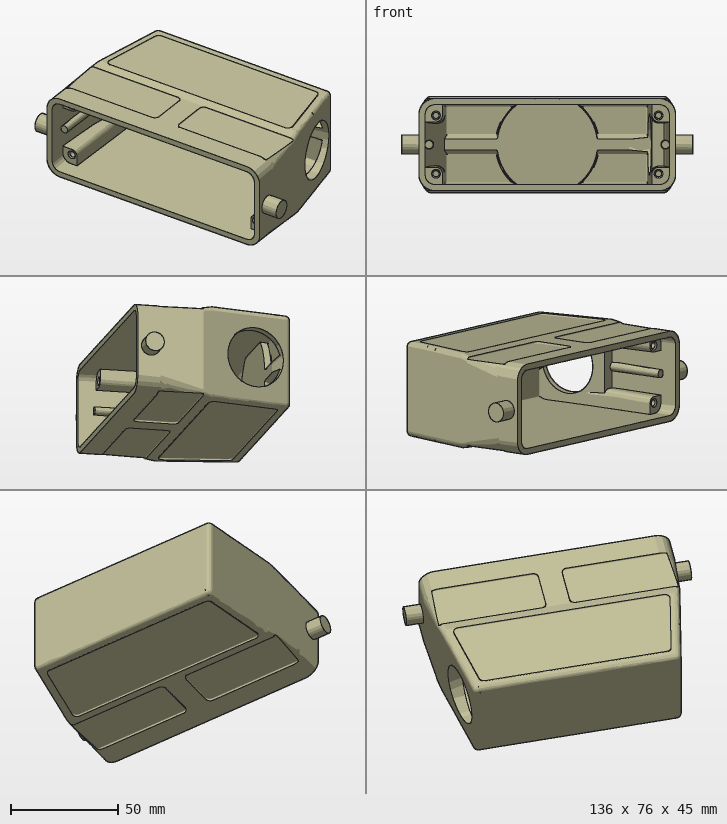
import cadquery as cq
import math


LENGTH = 136.0
DEPTH = 76.0
HEIGHT = 45.0
RIM_HALF_X = 60.0
RIM_HALF_Z = 21.5
BACK_HALF_Z = HEIGHT / 2
RIM_END_Y = 10.9
STEP_START_Y = 32.2
STEP_END_Y = 36.9
STEP_START_HALF_X = 57.8
BACK_HALF_X = 49.2
END_SLOPE = (STEP_START_HALF_X - BACK_HALF_X) / (DEPTH - STEP_START_Y)
RIM_CORNER_R = 7.5
EDGE_R = 2.6
BACK_EDGE_R = 2.3

SLAB_THICKNESS = 1.4

WALL_X = 3.0
WALL_Z = 2.9
DEEP_WALL_X = 2.5
CAVITY_CORNER_R = 4.5
DEEP_CORNER_R = 0.7
CAVITY_HALF_Z = RIM_HALF_Z - WALL_Z
RIB_Y = 70.0
PANEL_Y = 73.5
PANEL_HALF_X = 46.9
PANEL_HALF_Z = 17.8
PANEL_ROOT_R = 0.4

RIB_HALF_Z = 2.6
RIB_ROOT_HALF_Z = 4.5
PAD_R = 23.4
PAD_ROOT_R = 24.0
RIB_PAD_FILLET_R = 1.0

LATCH_PEG_R = 4.5
LATCH_PEG_Y = 6.3

BOSS_X = 52.0
BOSS_Z = 13.6
BOSS_R = 3.0
BOSS_FRONT_Y = 8.8
BOSS_OUTER_X = 58.5
BOSS_OUTER_Z = 19.3
BOSS_DRAFT = 1.1
SCREW_HOLE_R = 1.43
SCREW_RIM_R = 2.0
SCREW_DEPTH = 13.6
COUNTERSINK_SLOPE = 45

GUIDE_PIN_X = 55.2
GUIDE_PIN_R = 1.9
GUIDE_PIN_FRONT_Y = 7.5
GUIDE_PIN_END_Y = 44.9
GUIDE_PIN_DRAFT = 0.5

BLOCK_FRONT_Y = 36.2
BLOCK_FRONT_X = 49.0
BLOCK_BACK_X = 46.8
CABLE_HOLE_R = 14.3
CABLE_HOLE_X = 40.5
CABLE_HOLE_Y = 56.0
CABLE_HOLE_LENGTH = 27.2

RECESS_CORNER_R = 2.5
RECESS_ROOT_R = 0.4
RIM_RECESS_DEPTH = 1.0
RIM_RECESS_INNER_X = 5.7
LABEL_RECESS_DEPTH = 0.8
LABEL_FRONT_HALF_X = 52.1
LABEL_BACK_HALF_X = 45.4
LABEL_BACK_Y = 71.1


def ruled_body(sections):
    """Straight-sided body through a list of (y, half_x, half_z, corner_r)."""
    wires = []
    for y, half_x, half_z, corner_r in sections:
        slab = cq.Workplane("ZX", origin=(0, y, 0)).rect(2 * half_z, 2 * half_x).extrude(SLAB_THICKNESS)
        wires.append(slab.edges("|Y").fillet(corner_r).faces("<Y").wires().val())
    body = None
    for front, back in zip(wires, wires[1:]):
        part = cq.Workplane(cq.Solid.makeLoft([front, back], True))
        body = part if body is None else body.union(part)
    return body


def outer_body():
    """Solid outside form, without recesses or pegs."""
    step_end_half_x = STEP_START_HALF_X - END_SLOPE * (STEP_END_Y - STEP_START_Y)
    body = ruled_body([
        (0, RIM_HALF_X, RIM_HALF_Z, RIM_CORNER_R),
        (RIM_END_Y, RIM_HALF_X, RIM_HALF_Z, RIM_CORNER_R),
        (STEP_START_Y, STEP_START_HALF_X, RIM_HALF_Z, EDGE_R),
        (STEP_END_Y, step_end_half_x, BACK_HALF_Z, EDGE_R),
        (DEPTH, BACK_HALF_X, BACK_HALF_Z, EDGE_R),
    ])
    return body.faces(">Y").edges().fillet(BACK_EDGE_R)


def cavity():
    """Open space of the hood before anything stands in it."""
    deep_half_x = STEP_START_HALF_X - DEEP_WALL_X
    rib_half_x = deep_half_x - END_SLOPE * (RIB_Y - STEP_START_Y)
    return ruled_body([
        (0, RIM_HALF_X - WALL_X, CAVITY_HALF_Z, CAVITY_CORNER_R),
        (RIM_END_Y, RIM_HALF_X - WALL_X, CAVITY_HALF_Z, CAVITY_CORNER_R),
        (STEP_START_Y, deep_half_x, CAVITY_HALF_Z, DEEP_CORNER_R),
        (RIB_Y, rib_half_x, CAVITY_HALF_Z, DEEP_CORNER_R),
        (PANEL_Y, PANEL_HALF_X, PANEL_HALF_Z, DEEP_CORNER_R),
    ])


def back_rib_and_pad():
    """Drafted rib along X crossed by a round pad, standing on the panels."""
    rib = (
        cq.Workplane("YZ", origin=(-RIM_HALF_X, 0, 0))
        .moveTo(RIB_Y, -RIB_HALF_Z)
        .lineTo(RIB_Y, RIB_HALF_Z)
        .lineTo(PANEL_Y, RIB_ROOT_HALF_Z)
        .lineTo(PANEL_Y, -RIB_ROOT_HALF_Z)
        .close()
        .extrude(2 * RIM_HALF_X)
    )
    pad_draft = math.degrees(math.atan2(PAD_ROOT_R - PAD_R, PANEL_Y - RIB_Y))
    pad = cq.Workplane("ZX", origin=(0, RIB_Y, 0)).circle(PAD_R)
    pad = pad.extrude(PANEL_Y - RIB_Y, taper=-pad_draft)
    limit = cq.Workplane("XY").box(2 * LENGTH, 2 * LENGTH, 2 * BOSS_OUTER_Z)
    joined = rib.union(pad.intersect(limit))
    corner_low = (-PAD_ROOT_R, RIB_Y + PANEL_ROOT_R, -RIB_ROOT_HALF_Z)
    corner_high = (PAD_ROOT_R, PANEL_Y - PANEL_ROOT_R, RIB_ROOT_HALF_Z)
    corners = joined.edges(cq.selectors.BoxSelector(corner_low, corner_high))
    return corners.fillet(RIB_PAD_FILLET_R)


def screw_boss(side_x, side_z):
    """Drafted corner boss, rounded around its screw hole."""
    inner_x = side_x * (BOSS_X - BOSS_R)
    inner_z = side_z * (BOSS_Z - BOSS_R)
    outer_x = side_x * BOSS_OUTER_X
    outer_z = side_z * BOSS_OUTER_Z
    blend = BOSS_R * (1 - math.sqrt(0.5))
    return (
        cq.Workplane("ZX", origin=(0, BOSS_FRONT_Y, 0))
        .moveTo(outer_z, outer_x)
        .lineTo(inner_z, outer_x)
        .lineTo(inner_z, side_x * BOSS_X)
        .threePointArc(
            (inner_z + side_z * blend, inner_x + side_x * blend),
            (side_z * BOSS_Z, inner_x),
        )
        .lineTo(outer_z, inner_x)
        .close()
        .extrude(PANEL_Y - BOSS_FRONT_Y, taper=-BOSS_DRAFT)
    )


def screw_hole(side_x, side_z):
    """Blind hole with a small countersink."""
    mouth = cq.Workplane("ZX", origin=(0, BOSS_FRONT_Y, 0)).center(side_z * BOSS_Z, side_x * BOSS_X)
    bore = mouth.circle(SCREW_HOLE_R).extrude(SCREW_DEPTH)
    countersink = mouth.circle(SCREW_RIM_R).extrude(SCREW_RIM_R - SCREW_HOLE_R, taper=COUNTERSINK_SLOPE)
    return bore.union(countersink)


def guide_pin(side_x):
    """Pin along Y, sunk into the end wall at its far end."""
    pin = cq.Workplane("ZX", origin=(side_x * GUIDE_PIN_X, GUIDE_PIN_FRONT_Y, 0))
    return pin.circle(GUIDE_PIN_R).extrude(GUIDE_PIN_END_Y - GUIDE_PIN_FRONT_Y, taper=-GUIDE_PIN_DRAFT)


def latch_peg(side_x):
    """Round peg along X, rooted in the end wall."""
    root_x = RIM_HALF_X - WALL_X / 2
    peg = cq.Workplane("YZ", origin=(side_x * root_x, LATCH_PEG_Y, 0))
    return peg.circle(LATCH_PEG_R).extrude(side_x * (LENGTH / 2 - root_x))


def cable_block():
    """Thick part of the +X end wall behind a flat ledge."""
    return (
        cq.Workplane("XY", origin=(0, 0, -BOSS_OUTER_Z))
        .moveTo(BLOCK_FRONT_X, BLOCK_FRONT_Y)
        .lineTo(RIM_HALF_X, BLOCK_FRONT_Y)
        .lineTo(RIM_HALF_X, PANEL_Y)
        .lineTo(BLOCK_BACK_X, PANEL_Y)
        .close()
        .extrude(2 * BOSS_OUTER_Z)
    )


def cable_hole():
    """Bore through the cable block, square to the sloped +X wall."""
    axis = cq.Vector(1, END_SLOPE, 0)
    plane = cq.Plane(origin=(CABLE_HOLE_X, CABLE_HOLE_Y, 0), xDir=(0, 0, 1), normal=axis)
    return cq.Workplane(plane).circle(CABLE_HOLE_R).extrude(CABLE_HOLE_LENGTH / 2, both=True)


def rim_recess(side_x, side_z):
    """Shallow recess behind the rim, open at the end wall."""
    return (
        cq.Workplane("XY", origin=(0, 0, side_z * (RIM_HALF_Z - RIM_RECESS_DEPTH)))
        .moveTo(side_x * RIM_RECESS_INNER_X, RIM_END_Y)
        .lineTo(side_x * LENGTH / 2, RIM_END_Y)
        .lineTo(side_x * LENGTH / 2, STEP_START_Y)
        .lineTo(side_x * RIM_RECESS_INNER_X, STEP_START_Y)
        .close()
        .extrude(side_z * HEIGHT)
        .edges("|Z")
        .edges("<X" if side_x > 0 else ">X")
        .fillet(RECESS_CORNER_R)
        .faces("<Z" if side_z > 0 else ">Z")
        .edges()
        .fillet(RECESS_ROOT_R)
    )


def label_recess(side_z):
    """Shallow trapezoid recess in the full-height face."""
    return (
        cq.Workplane("XY", origin=(0, 0, side_z * (BACK_HALF_Z - LABEL_RECESS_DEPTH)))
        .moveTo(-LABEL_FRONT_HALF_X, STEP_END_Y)
        .lineTo(LABEL_FRONT_HALF_X, STEP_END_Y)
        .lineTo(LABEL_BACK_HALF_X, LABEL_BACK_Y)
        .lineTo(-LABEL_BACK_HALF_X, LABEL_BACK_Y)
        .close()
        .extrude(side_z * HEIGHT)
        .edges("|Z")
        .fillet(RECESS_CORNER_R)
        .faces("<Z" if side_z > 0 else ">Z")
        .edges()
        .fillet(RECESS_ROOT_R)
    )


SIDES = (-1, 1)
CORNERS = [(side_x, side_z) for side_x in SIDES for side_z in SIDES]

envelope = outer_body()
space = cavity().cut(cable_block()).cut(back_rib_and_pad())
space = space.faces(">Y").edges().fillet(PANEL_ROOT_R)

inside = guide_pin(-1).union(guide_pin(1))
for corner in CORNERS:
    inside = inside.union(screw_boss(*corner))

hood = envelope.cut(space).union(inside.intersect(envelope))
hood = hood.cut(cable_hole())
for corner in CORNERS:
    hood = hood.cut(screw_hole(*corner)).cut(rim_recess(*corner))
for side in SIDES:
    hood = hood.cut(label_recess(side)).union(latch_peg(side))

result = hood